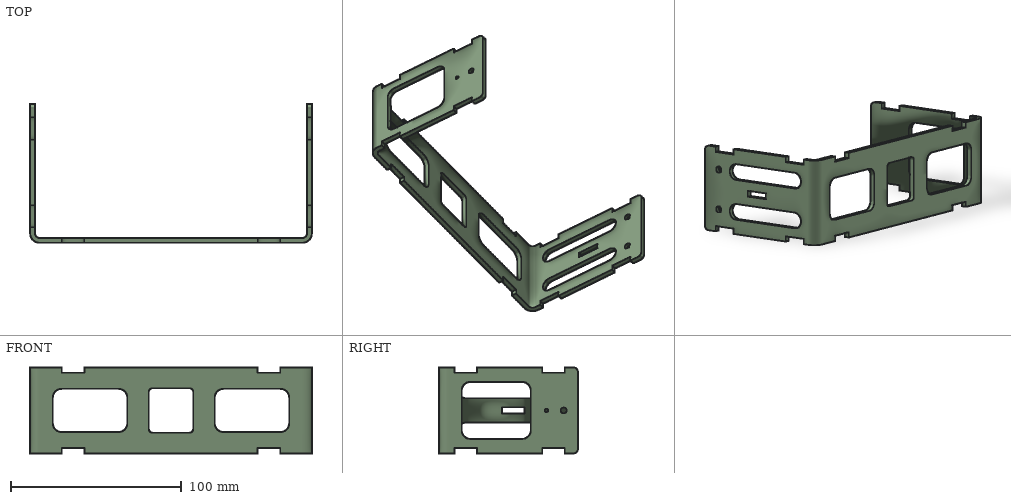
import cadquery as cq

length = 165.0
depth = 81.3
height = 50.5
thickness = 3.0
bend_inner_radius = 2.8
bend_outer_radius = bend_inner_radius + thickness
wing_corner_radius = 2.8

notch_width = 13.0
notch_depth = 3.1
plate_notch_offset = 57.2
wing_notch_setbacks = (14.4, 65.7)

side_window_length = 43.4
side_window_height = 25.0
side_window_radius = 5.0
side_window_offset = 47.3
centre_window_size = 25.9
centre_window_radius = 2.1

long_slot_length = 52.0
long_slot_width = 9.4
long_slot_setback = 44.2
row_offset = 11.9
screw_hole_diameter = 3.6
screw_hole_setback = 10.0
small_slot_length = 13.0
small_slot_height = 3.5
small_slot_setback = 38.0

wing_window_length = 40.3
wing_window_height = 2 * row_offset + long_slot_width
wing_window_radius = 5.0
wing_window_setback = 47.8
large_hole_diameter = 3.5
large_hole_setback = 8.4
pin_hole_diameter = 2.0
pin_hole_setback = 18.5


def bent_sheet():
    """U-shaped sheet with rounded bends and rounded wing ends."""
    outer = (
        cq.Workplane("XY")
        .box(length, depth, height, centered=(True, False, True))
        .edges("|Z and <Y")
        .fillet(bend_outer_radius)
    )
    inner = (
        cq.Workplane("XY")
        .box(length - 2 * thickness, depth, height, centered=(True, False, True))
        .edges("|Z and <Y")
        .fillet(bend_inner_radius)
        .translate((0, thickness, 0))
    )
    return outer.cut(inner).edges("|X and >Y").fillet(wing_corner_radius)


def through_plate(profile):
    """Extrude a profile on the XZ plane through the back plate."""
    return profile.extrude(-thickness)


def through_wing(profile, side):
    """Extrude a profile on the YZ plane through one wing: side -1 left, +1 right."""
    start = -length / 2 if side < 0 else length / 2 - thickness
    return profile.extrude(thickness).translate((start, 0, 0))


def rounded_window(profile, window_length, window_height, radius):
    """Add a rectangle with rounded corners to a workplane."""
    sketch = cq.Sketch().rect(window_length, window_height).vertices().fillet(radius)
    return profile.placeSketch(sketch)


def plate_cutters():
    """Notches and windows of the back plate."""
    notch_points = [
        (side * plate_notch_offset, edge * (height - notch_depth) / 2)
        for side in (-1, 1)
        for edge in (-1, 1)
    ]
    notches = cq.Workplane("XZ").pushPoints(notch_points).rect(notch_width, notch_depth)
    side_windows = rounded_window(
        cq.Workplane("XZ").pushPoints([(-side_window_offset, 0), (side_window_offset, 0)]),
        side_window_length,
        side_window_height,
        side_window_radius,
    )
    centre_window = rounded_window(
        cq.Workplane("XZ"), centre_window_size, centre_window_size, centre_window_radius
    )
    return [through_plate(profile) for profile in (notches, side_windows, centre_window)]


def wing_notches():
    """Notch profiles shared by both wings."""
    points = [
        (depth - setback, edge * (height - notch_depth) / 2)
        for setback in wing_notch_setbacks
        for edge in (-1, 1)
    ]
    return cq.Workplane("YZ").pushPoints(points).rect(notch_width, notch_depth)


def row_pair(setback):
    """Workplane with an upper and a lower point at a distance from the wing end."""
    y = depth - setback
    return cq.Workplane("YZ").pushPoints([(y, -row_offset), (y, row_offset)])


def middle_point(setback):
    """Workplane centred at mid height at a distance from the wing end."""
    return cq.Workplane("YZ").center(depth - setback, 0)


def left_wing_cutters():
    """Notches, long slots, screw holes and small slot of the left wing."""
    profiles = [
        wing_notches(),
        row_pair(long_slot_setback).slot2D(long_slot_length, long_slot_width),
        row_pair(screw_hole_setback).circle(screw_hole_diameter / 2),
        middle_point(small_slot_setback).rect(small_slot_length, small_slot_height),
    ]
    return [through_wing(profile, -1) for profile in profiles]


def right_wing_cutters():
    """Notches, window and two holes of the right wing."""
    window = rounded_window(
        middle_point(wing_window_setback),
        wing_window_length,
        wing_window_height,
        wing_window_radius,
    )
    profiles = [
        wing_notches(),
        window,
        middle_point(large_hole_setback).circle(large_hole_diameter / 2),
        middle_point(pin_hole_setback).circle(pin_hole_diameter / 2),
    ]
    return [through_wing(profile, 1) for profile in profiles]


result = bent_sheet()
for cutter in plate_cutters() + left_wing_cutters() + right_wing_cutters():
    result = result.cut(cutter)